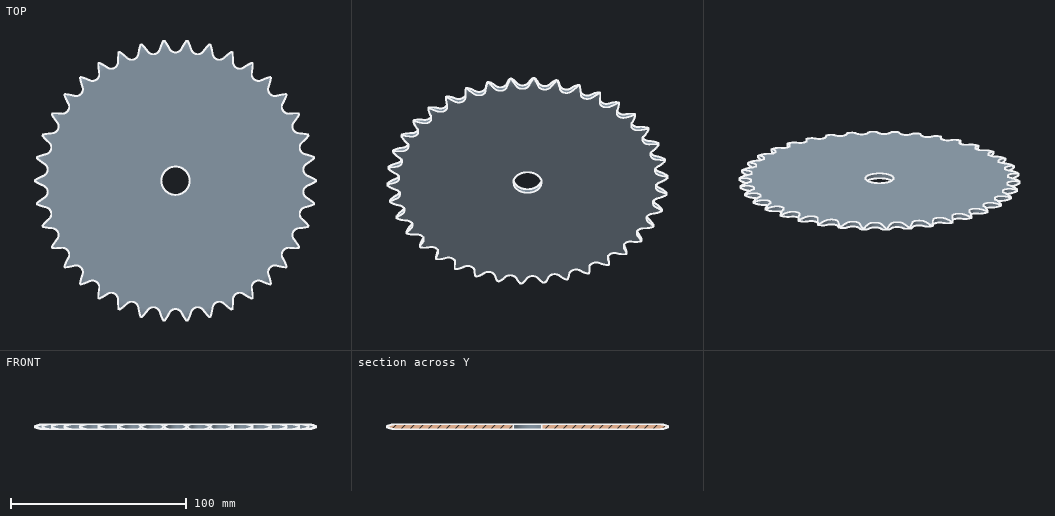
import cadquery as cq
import math

tooth_count = 38
tip_radius = 79.9
thickness = 3.0
bore_diameter = 16.0

root_radius = 73.0
seat_radius = 3.8
seat_half_angle = math.radians(63.0)
flank_radius = 32.0
tip_clearance = 0.8

relief_start_radius = 75.0
relief_arc_radius = 11.2

pitch_angle = 360.0 / tooth_count
seat_center_x = root_radius + seat_radius
gap_outer_x = tip_radius + tip_clearance


def relief_half_thickness(radius):
    """Half thickness of the toothed rim at a radius inside the relief."""
    reach = radius - relief_start_radius
    drop = relief_arc_radius - math.sqrt(relief_arc_radius**2 - reach**2)
    return thickness / 2 - drop


def relieved_blank():
    """Disc whose rim narrows along arcs tangent to its two faces."""
    face_z = thickness / 2
    tip_z = relief_half_thickness(tip_radius)
    middle_radius = (relief_start_radius + tip_radius) / 2
    middle_z = relief_half_thickness(middle_radius)
    return (
        cq.Workplane("XZ")
        .moveTo(0, -face_z)
        .lineTo(relief_start_radius, -face_z)
        .threePointArc((middle_radius, -middle_z), (tip_radius, -tip_z))
        .lineTo(tip_radius, tip_z)
        .threePointArc((middle_radius, middle_z), (relief_start_radius, face_z))
        .lineTo(0, face_z)
        .close()
        .revolve(360, (0, 0, 0), (0, 1, 0))
    )


def flank_half_width(x):
    """Half width of the gap at x on its flanks, which run tangent out of the seat."""
    center_distance = seat_radius + flank_radius
    flank_center_x = seat_center_x - center_distance * math.cos(seat_half_angle)
    flank_center_y = center_distance * math.sin(seat_half_angle)
    return flank_center_y - math.sqrt(flank_radius**2 - (x - flank_center_x) ** 2)


def tooth_gap():
    """Prism that fills one tooth gap, centred on the X axis."""
    seat_end_x = seat_center_x - seat_radius * math.cos(seat_half_angle)
    seat_end_y = seat_radius * math.sin(seat_half_angle)
    flank_middle_x = (seat_end_x + gap_outer_x) / 2
    flank_middle_y = flank_half_width(flank_middle_x)
    outer_y = flank_half_width(gap_outer_x)
    return (
        cq.Workplane("XY", origin=(0, 0, -thickness / 2))
        .moveTo(gap_outer_x, -outer_y)
        .threePointArc((flank_middle_x, -flank_middle_y), (seat_end_x, -seat_end_y))
        .threePointArc((root_radius, 0), (seat_end_x, seat_end_y))
        .threePointArc((flank_middle_x, flank_middle_y), (gap_outer_x, outer_y))
        .close()
        .extrude(thickness)
    )


def all_tooth_gaps():
    """Gaps around the rim, placed so that one tooth points along +X."""
    gap = tooth_gap().val()
    axis_start = (0, 0, 0)
    axis_end = (0, 0, 1)
    gaps = []
    for index in range(tooth_count):
        angle = (index + 0.5) * pitch_angle
        gaps.append(gap.rotate(axis_start, axis_end, angle))
    return gaps


def bore():
    """Cylinder that fills the central through hole."""
    bottom = cq.Workplane("XY", origin=(0, 0, -thickness / 2))
    return bottom.circle(bore_diameter / 2).extrude(thickness)


sprocket = relieved_blank().val().cut(bore().val(), *all_tooth_gaps())
result = cq.Workplane("XY").newObject([sprocket])